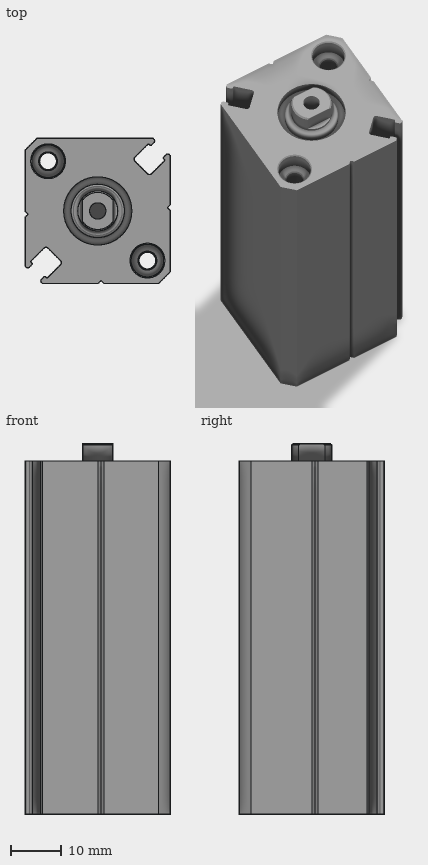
import cadquery as cq
import math

width = 29.0
total_height = 74.0
rod_protrusion = 3.5
housing_height = total_height - rod_protrusion
half_width = width / 2

corner_chamfer = 2.4
notch_offset = 0.7
notch_half_width = 0.6
notch_depth = 0.6
notch_angles = (0, 90, 270)

corner_flat_distance = 18.05
slot_floor_distance = 12.3
slot_lip_distance = 16.65
slot_width = 4.65
slot_mouth_width = 3.4
slot_floor_fillet = 0.6
slot_lip_fillet = 0.2
lip_tip_fillet = 0.45
slot_angles = (45, 225)

mount_offset = 9.9
mount_hole_diameter = 3.3
counterbore_diameter = 6.5
counterbore_depth = 3.6
mount_chamfer = 0.2

recess_diameter = 13.6
recess_depth = 2.0
collar_diameter = 10.65
collar_drop = 0.5
collar_fillet = 0.45

rod_diameter = 8.0
rod_flat_width = 6.0
rod_chamfer = 0.3
rod_socket_depth = 14.8
rod_hole_diameter = 3.25
rod_hole_depth = 7.4


def make_block():
    block = cq.Workplane("XY").rect(width, width).extrude(housing_height)
    chamfered_corners = block.edges("|Z").edges("<(1,-1,0) or >(1,-1,0)")
    return chamfered_corners.chamfer(corner_chamfer)


def make_side_notch(angle):
    """V-groove along the full height of the -Y side, turned about the axis by angle."""
    notch = (
        cq.Workplane("XY")
        .moveTo(notch_offset - notch_half_width, -half_width)
        .lineTo(notch_offset, -half_width + notch_depth)
        .lineTo(notch_offset + notch_half_width, -half_width)
        .close()
        .extrude(housing_height)
    )
    return notch.rotate((0, 0, 0), (0, 0, 1), angle)


def make_bar(inner_distance, outer_distance, bar_width):
    """Full-height bar on the +X axis between two distances from the origin."""
    length = outer_distance - inner_distance
    middle = (inner_distance + outer_distance) / 2
    return cq.Workplane("XY").center(middle, 0).rect(length, bar_width).extrude(housing_height)


def fillet_upright_edges(slot, distance, spacing, radius):
    """Round the two vertical edges at +-spacing / 2 at one distance along the slot."""
    for side in (-1, 1):
        point = (distance, side * spacing / 2, housing_height / 2)
        slot = slot.edges(cq.selectors.NearestToPointSelector(point)).fillet(radius)
    return slot


def make_corner_slot(angle):
    """Rounded slot between two lips, with the flat that cuts off its corner."""
    corner_distance = half_width * math.sqrt(2)
    channel = make_bar(slot_floor_distance, slot_lip_distance, slot_width)
    mouth = make_bar(slot_lip_distance, corner_flat_distance, slot_mouth_width)
    corner_flat = make_bar(corner_flat_distance, corner_distance, width)
    slot = channel.union(mouth).union(corner_flat)
    slot = fillet_upright_edges(slot, slot_floor_distance, slot_width, slot_floor_fillet)
    slot = fillet_upright_edges(slot, slot_lip_distance, slot_width, slot_lip_fillet)
    slot = fillet_upright_edges(slot, slot_lip_distance, slot_mouth_width, slot_lip_fillet)
    slot = fillet_upright_edges(slot, corner_flat_distance, slot_mouth_width, lip_tip_fillet)
    return slot.rotate((0, 0, 0), (0, 0, 1), angle)


def make_cylinder(diameter, bottom, top):
    return cq.Workplane("XY").workplane(offset=bottom).circle(diameter / 2).extrude(top - bottom)


def make_mount_hole():
    """Through hole with a counterbore, both with chamfered rims."""
    hole_radius = mount_hole_diameter / 2
    counterbore_radius = counterbore_diameter / 2
    floor = housing_height - counterbore_depth
    outline = [
        (0, 0),
        (hole_radius, 0),
        (hole_radius, floor - mount_chamfer),
        (hole_radius + mount_chamfer, floor),
        (counterbore_radius, floor),
        (counterbore_radius, housing_height - mount_chamfer),
        (counterbore_radius + mount_chamfer, housing_height),
        (0, housing_height),
    ]
    return cq.Workplane("XZ").polyline(outline).close().revolve()


def make_recess():
    """Annular recess that leaves the collar standing in its middle."""
    recess_floor = housing_height - recess_depth
    collar_top = housing_height - collar_drop
    recess = make_cylinder(recess_diameter, recess_floor, housing_height)
    collar = make_cylinder(collar_diameter, recess_floor, collar_top)
    return recess.cut(collar.faces(">Z").fillet(collar_fillet))


def make_housing():
    housing = make_block()
    for angle in notch_angles:
        housing = housing.cut(make_side_notch(angle))
    for angle in slot_angles:
        housing = housing.cut(make_corner_slot(angle))
    for side in (-1, 1):
        position = (side * mount_offset, -side * mount_offset, 0)
        housing = housing.cut(make_mount_hole().translate(position))
    housing = housing.cut(make_recess())
    rod_bottom = housing_height - rod_socket_depth
    return housing.cut(make_cylinder(rod_diameter, rod_bottom, housing_height))


def make_rod():
    """Rod with two flats above the housing and a blind hole in its end."""
    rod_bottom = housing_height - rod_socket_depth
    rod = make_cylinder(rod_diameter, rod_bottom, total_height)
    rod = rod.faces(">Z").chamfer(rod_chamfer)
    flat_stock = make_cylinder(2 * rod_diameter, housing_height, total_height)
    flat_core = (
        cq.Workplane("XY")
        .workplane(offset=housing_height)
        .rect(rod_flat_width, 2 * rod_diameter)
        .extrude(rod_protrusion)
    )
    rod = rod.cut(flat_stock.cut(flat_core))
    end_hole = make_cylinder(rod_hole_diameter, total_height - rod_hole_depth, total_height)
    return rod.cut(end_hole)


housing = make_housing()
rod = make_rod()

result = cq.Compound.makeCompound([housing.val(), rod.val()])